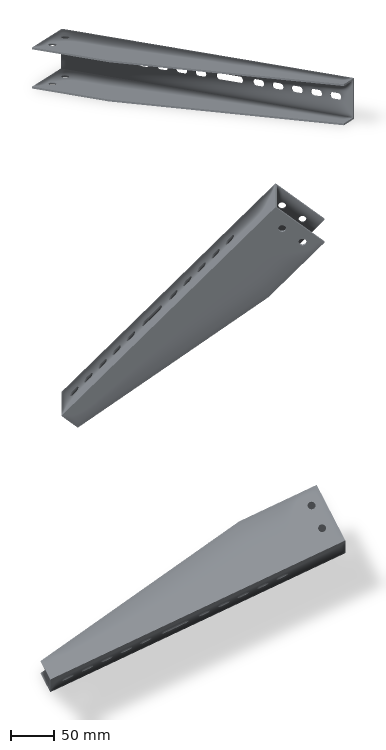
import cadquery as cq

length = 380.0
depth = 75.0
height = 50.0
thickness = 2.3

straight_length = 100.0
tip_depth = 25.0

hole_diameter = 9.0
hole_places = [(17.5, 25.0), (16.5, 55.0)]

slot_width = 8.5
short_slot_length = 15.0
long_slot_length = 35.0
row_center = 219.3
first_slot_offset = 37.5
slot_pitch = 25.0
slots_per_side = 5


def channel():
    """U-shaped channel whose two flanges narrow towards the +X end."""
    outline = [
        (0, 0),
        (straight_length, 0),
        (length, depth - tip_depth),
        (length, depth),
        (0, depth),
    ]
    body = cq.Workplane("XY").polyline(outline).close().extrude(height)
    cavity = cq.Workplane("XY").box(
        length, depth - thickness, height - 2 * thickness, centered=False
    )
    return body.cut(cavity.translate((0, 0, thickness)))


def flange_holes():
    """Round cutters passing through both flanges."""
    centers = [(x, depth - from_web) for x, from_web in hole_places]
    return cq.Workplane("XY").pushPoints(centers).circle(hole_diameter / 2).extrude(height)


def web_slots(centers_x, slot_length):
    """Slot cutters passing through the web at mid height."""
    points = [(x, height / 2) for x in centers_x]
    return (
        cq.Workplane("XZ", origin=(0, depth, 0))
        .pushPoints(points)
        .slot2D(slot_length, slot_width)
        .extrude(thickness)
    )


short_slot_centers = [
    row_center + side * (first_slot_offset + i * slot_pitch)
    for side in (-1, 1)
    for i in range(slots_per_side)
]

result = (
    channel()
    .cut(flange_holes())
    .cut(web_slots(short_slot_centers, short_slot_length))
    .cut(web_slots([row_center], long_slot_length))
)